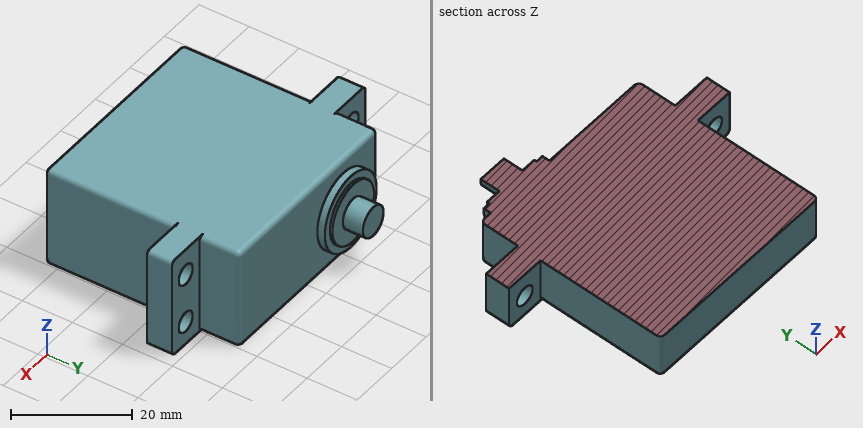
import cadquery as cq

case_width = 40.0
case_depth = 39.0
case_height = 20.0
case_edge_radius = 1.0

axis_z = -0.32

flange_width = 56.0
flange_thickness = 5.0
flange_setback = 8.0
flange_corner_radius = 1.0

hole_diameter = 4.0
hole_edge_distance = 4.0
hole_spacing = 10.0

output_x = -10.0
output_steps = [
    (15.0, 1.5),
    (12.0, 0.5),
    (6.0, 4.0),
]

output_face_y = case_depth / 2
flange_center_y = output_face_y - flange_setback - flange_thickness / 2


def make_case():
    case = cq.Workplane("XY").box(case_width, case_depth, case_height)
    return case.edges().fillet(case_edge_radius)


def make_flange():
    flange = cq.Workplane("XY").box(flange_width, flange_thickness, case_height)
    flange = flange.edges("|Y").fillet(flange_corner_radius)
    return flange.translate((0, flange_center_y, 0))


def make_screw_holes():
    hole_x = flange_width / 2 - hole_edge_distance
    hole_start_y = flange_center_y - flange_thickness / 2
    centers = [
        (side * hole_x, axis_z + level * hole_spacing / 2)
        for side in (-1, 1)
        for level in (-1, 1)
    ]
    return (
        cq.Workplane("XZ", origin=(0, hole_start_y, 0))
        .pushPoints(centers)
        .circle(hole_diameter / 2)
        .extrude(-flange_thickness)
    )


def add_output_stack(body):
    step_y = output_face_y
    for diameter, length in output_steps:
        step = (
            cq.Workplane("XZ", origin=(output_x, step_y, axis_z))
            .circle(diameter / 2)
            .extrude(-length)
        )
        body = body.union(step)
        step_y += length
    return body


housing = make_case().union(make_flange()).cut(make_screw_holes())
result = add_output_stack(housing)